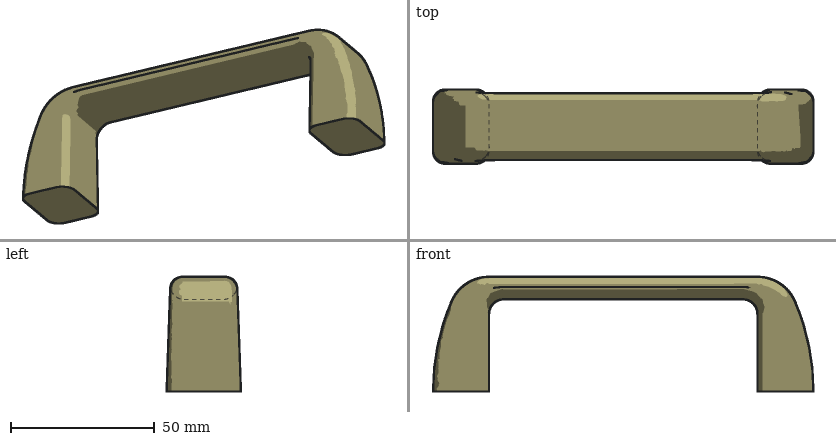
import cadquery as cq
import math

length = 132.6
foot_width = 26.0
height = 40.0

leg_depth = 19.6
bar_thickness = 8.0
leg_radius = 79.5
inner_corner_radius = 4.9
side_draft = 2.0

outer_fillet = 4.5
inner_fillet = 4.9

half_length = length / 2
half_opening = half_length - leg_depth
opening_height = height - bar_thickness

leg_center_x = half_length - leg_radius
center_offset = half_opening - leg_center_x
corner_radius = (leg_radius**2 - center_offset**2 - height**2) / (2 * (leg_radius - height))
corner_center_z = height - corner_radius

blend_angle = math.atan2(corner_center_z, center_offset)
corner_mid_angle = (blend_angle + math.pi / 2) / 2


def leg_point(angle):
    """Point on the right-hand outer leg arc."""
    return (leg_center_x + leg_radius * math.cos(angle), leg_radius * math.sin(angle))


def corner_point(angle):
    """Point on the right-hand top corner arc."""
    return (half_opening + corner_radius * math.cos(angle), corner_center_z + corner_radius * math.sin(angle))


def mirrored(point):
    return (-point[0], point[1])


def drafted_block(block_length, block_height):
    """Block with both sides leaning inward from the foot width."""
    half_width = foot_width / 2
    top_half_width = half_width - block_height * math.tan(math.radians(side_draft))
    section = [
        (-half_width, 0),
        (half_width, 0),
        (top_half_width, block_height),
        (-top_half_width, block_height),
    ]
    return cq.Workplane("YZ").polyline(section).close().extrude(block_length / 2, both=True)


def outer_body():
    """Solid block under the arched outline, rounded along its outer edges."""
    leg_middle = leg_point(blend_angle / 2)
    blend = leg_point(blend_angle)
    corner_middle = corner_point(corner_mid_angle)
    top_end = (half_opening, height)
    profile = (
        cq.Workplane("XZ")
        .moveTo(half_length, 0)
        .threePointArc(leg_middle, blend)
        .threePointArc(corner_middle, top_end)
        .lineTo(-half_opening, height)
        .threePointArc(mirrored(corner_middle), mirrored(blend))
        .threePointArc(mirrored(leg_middle), (-half_length, 0))
        .close()
        .extrude(foot_width, both=True)
    )
    body = profile.intersect(drafted_block(length, height))
    top_rim = body.faces(">Z").edges("|X")
    return top_rim.fillet(outer_fillet)


def inner_body():
    """Oversized block with the hand opening, rounded along the opening's edges."""
    margin = 2 * inner_fillet
    opening = (
        cq.Workplane("XY")
        .box(2 * half_opening, 2 * foot_width, 2 * opening_height)
        .edges("|Y and >Z")
        .fillet(inner_corner_radius)
    )
    body = drafted_block(length + 2 * margin, height + margin).cut(opening)
    rims = body.edges("|X").edges(cq.selectors.BoxSelector(
        (-half_opening, -foot_width, opening_height - inner_fillet),
        (half_opening, foot_width, opening_height + inner_fillet),
    ))
    return rims.fillet(inner_fillet)


result = outer_body().intersect(inner_body())